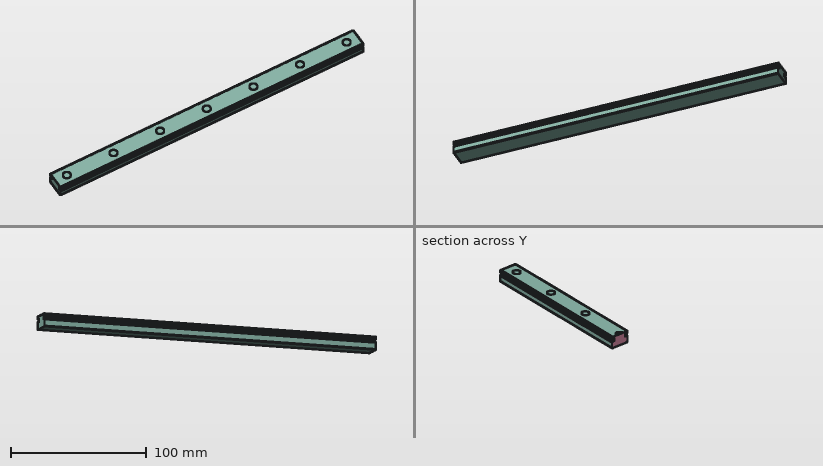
import cadquery as cq

length = 260.0
width = 15.0
height = 10.0
edge_chamfer = 0.5

groove_centre_height = 6.8
groove_height = 1.8
groove_depth = 2.3
groove_lip = 0.65

cap_count = 7
cap_pitch = 40.0
cap_diameter = 6.0
cap_recess = 0.13


def rail_bar():
    """Rectangular bar along Y with bevelled long edges, centred on the origin."""
    return cq.Workplane("XY").box(width, length, height).edges("|Y").chamfer(edge_chamfer)


def flank_groove(side):
    """Square groove with a bevelled mouth, running the full length of one flank; side is -1 or 1."""
    outer = side * width / 2
    lip_end = outer - side * groove_lip
    inner = outer - side * groove_depth
    half_groove = groove_height / 2
    half_mouth = half_groove + groove_lip
    centre_z = groove_centre_height - height / 2
    return (
        cq.Workplane("XZ", origin=(0, 0, centre_z))
        .moveTo(outer, half_mouth)
        .lineTo(lip_end, half_groove)
        .lineTo(inner, half_groove)
        .lineTo(inner, -half_groove)
        .lineTo(lip_end, -half_groove)
        .lineTo(outer, -half_mouth)
        .close()
        .extrude(length / 2, both=True)
    )


def cap_recesses():
    """Row of shallow round recesses along the middle of the top face."""
    return (
        cq.Workplane("XY", origin=(0, 0, height / 2))
        .rarray(2.5, cap_pitch, 1, cap_count)
        .circle(cap_diameter / 2)
        .extrude(-cap_recess)
    )


result = rail_bar()
for side in (-1, 1):
    result = result.cut(flank_groove(side))
result = result.cut(cap_recesses())